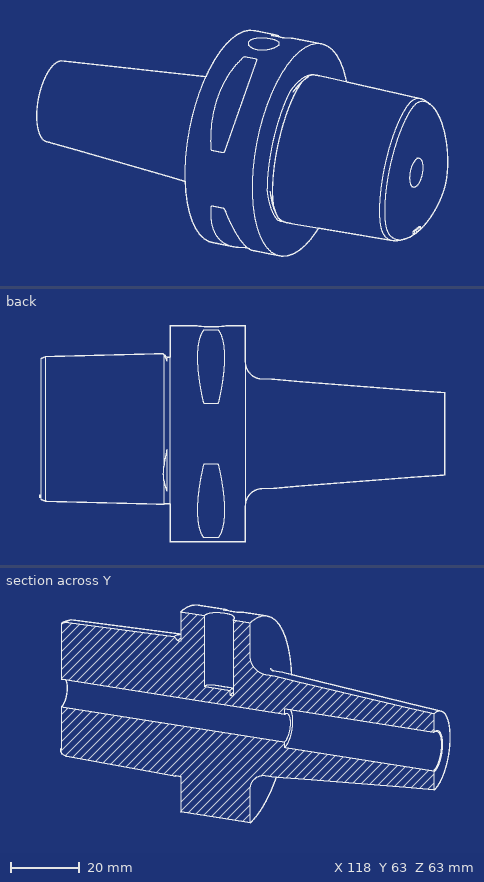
import cadquery as cq
import math


nose_tip_radius = 12.0
nose_root_radius = 32.0 / 2
nose_cone_length = 50.5
root_fillet_radius = 5.0

flange_radius = 63.0 / 2
flange_start = 58.0
flange_end = 80.0

total_length = 118.0
end_bump_height = 0.4
shank_end = total_length - end_bump_height
shank_radius = 22.0
lobe_height = 1.4
lobe_count = 3
spline_steps = 12
rim_start = 81.8
rim_relief = 0.1
taper_start = 82.8
end_chamfer_length = 1.4
end_chamfer_depth = 0.6
taper_end = shank_end - end_chamfer_length
taper_slope = 1 / 40
taper_end_radius = shank_radius - taper_slope * (taper_end - taper_start)

relief_radius = 22.3
relief_width = 1.0

end_bump_width = 4.1
end_bump_thickness = 0.8
end_bump_drop = 18.2

tool_bore_diameter = 12.0
bore_mouth_diameter = 12.5
tool_bore_depth = 47.2
through_hole_diameter = 8.6

slot_count = 4
slot_center = 68.1
slot_floor_distance = 27.6
slot_floor_width = 4.2
slot_mid_width = 7.9
slot_floor_fillet = 0.5

radial_hole_diameter = 9.0
radial_hole_center = 68.0
hole_floor_diameter = 18.4
hole_floor_start = 64.4
slit_bottom = 7.7


def axial_cylinder(radius, start, end):
    """Cylinder on the X axis between two X positions."""
    return cq.Workplane("YZ").workplane(offset=start).circle(radius).extrude(end - start)


def lobed_wire(x, mean_radius):
    """Closed constant-width outline with one lobe toward +Z, at position x."""
    def outline_point(angle):
        support = mean_radius + lobe_height * math.cos(lobe_count * angle)
        slope = -lobe_count * lobe_height * math.sin(lobe_count * angle)
        y = support * math.sin(angle) + slope * math.cos(angle)
        z = support * math.cos(angle) - slope * math.sin(angle)
        return cq.Vector(x, y, z)

    arc_angle = 2 * math.pi / lobe_count
    corners = [outline_point((i - 0.5) * arc_angle) for i in range(lobe_count)]
    arcs = []
    for i in range(lobe_count):
        angles = [(i - 0.5 + k / spline_steps) * arc_angle for k in range(1, spline_steps)]
        inner_points = [outline_point(angle) for angle in angles]
        next_corner = corners[(i + 1) % lobe_count]
        arcs.append(cq.Edge.makeSpline([corners[i]] + inner_points + [next_corner]))
    return cq.Wire.assembleEdges(arcs)


def lobed_loft(stations):
    """Solid ruled through lobed outlines given as (x, mean radius) pairs."""
    wires = [lobed_wire(x, mean_radius) for x, mean_radius in stations]
    return cq.Workplane(cq.Solid.makeLoft(wires, True))


def make_nose_and_flange():
    fillet_start = flange_start - root_fillet_radius
    fillet_middle = root_fillet_radius * math.sqrt(0.5)
    return (
        cq.Workplane("XY")
        .lineTo(0, nose_tip_radius)
        .lineTo(nose_cone_length, nose_root_radius)
        .lineTo(fillet_start, nose_root_radius)
        .threePointArc(
            (fillet_start + fillet_middle, nose_root_radius + root_fillet_radius - fillet_middle),
            (flange_start, nose_root_radius + root_fillet_radius),
        )
        .lineTo(flange_start, flange_radius)
        .lineTo(flange_end, flange_radius)
        .lineTo(flange_end, 0)
        .close()
        .revolve(360, (0, 0, 0), (1, 0, 0))
    )


def make_shank():
    neck_radius = shank_radius - rim_relief
    neck = lobed_loft([(flange_end, neck_radius), (rim_start, neck_radius)])
    body = lobed_loft([
        (rim_start, shank_radius),
        (taper_start, shank_radius),
        (taper_end, taper_end_radius),
        (shank_end, taper_end_radius - end_chamfer_depth),
    ])
    bump = cq.Workplane("XY").box(
        2 * end_bump_height, end_bump_width, end_bump_thickness
    ).translate((shank_end, 0, -end_bump_drop))
    return neck.union(body).union(bump)


def make_lobe_relief():
    outer_radius = shank_radius + 2 * lobe_height
    flare = outer_radius - relief_radius
    return (
        cq.Workplane("XY")
        .moveTo(flange_end, relief_radius)
        .lineTo(flange_end + relief_width, relief_radius)
        .lineTo(flange_end + relief_width + flare, outer_radius)
        .lineTo(flange_end, outer_radius)
        .close()
        .revolve(360, (0, 0, 0), (1, 0, 0))
    )


def make_axial_bore():
    mouth_chamfer = (bore_mouth_diameter - tool_bore_diameter) / 2
    through_hole = axial_cylinder(through_hole_diameter / 2, 0, shank_end)
    tool_bore = axial_cylinder(tool_bore_diameter / 2, 0, tool_bore_depth)
    mouth = cq.Workplane(
        cq.Solid.makeCone(
            bore_mouth_diameter / 2, tool_bore_diameter / 2, mouth_chamfer,
            cq.Vector(0, 0, 0), cq.Vector(1, 0, 0),
        )
    )
    return through_hole.union(tool_bore).union(mouth)


def make_gripper_slot(angle):
    """Flat-bottomed slot with flared sides, turned about X by angle."""
    depth = flange_radius - slot_floor_distance
    flare = (slot_mid_width - slot_floor_width) / 2
    floor_half = slot_floor_width / 2
    top_half = floor_half + 2 * flare
    return (
        cq.Workplane("XZ")
        .moveTo(slot_center - floor_half, slot_floor_distance)
        .lineTo(slot_center + floor_half, slot_floor_distance)
        .lineTo(slot_center + top_half, slot_floor_distance + 2 * depth)
        .lineTo(slot_center - top_half, slot_floor_distance + 2 * depth)
        .close()
        .extrude(flange_radius, both=True)
        .faces("<Z")
        .edges("|Y")
        .fillet(slot_floor_fillet)
        .rotate((0, 0, 0), (1, 0, 0), angle)
    )


def make_radial_hole():
    hole = (
        cq.Workplane("XY")
        .workplane(offset=slit_bottom)
        .center(radial_hole_center, 0)
        .circle(radial_hole_diameter / 2)
        .extrude(flange_radius - slit_bottom)
    )
    return hole.cut(axial_cylinder(hole_floor_diameter / 2, hole_floor_start, flange_end))


result = make_nose_and_flange().union(make_shank())
result = result.cut(make_lobe_relief())
result = result.cut(make_axial_bore())
for i in range(slot_count):
    result = result.cut(make_gripper_slot((i + 0.5) * 360 / slot_count))
result = result.cut(make_radial_hole())